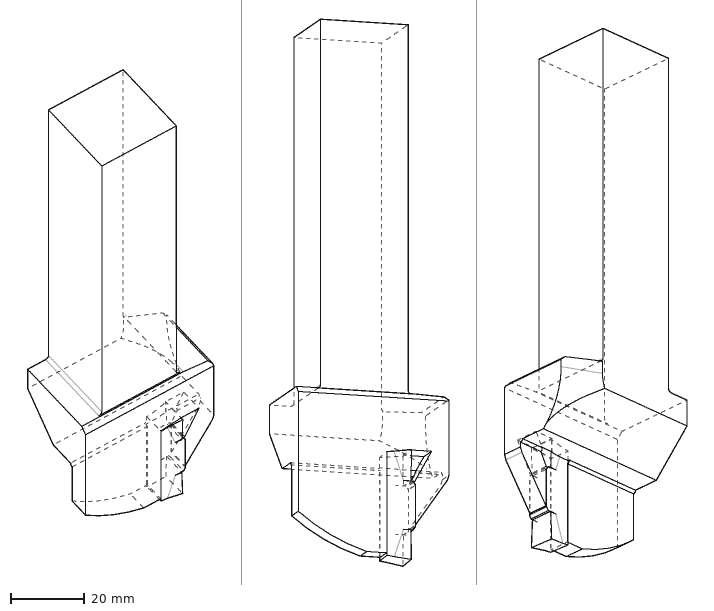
import cadquery as cq
import math


shank_size = 25.0
tool_length = 150.0
neck_fillet = 1.0

head_front = -7.0
head_back = 36.0
head_right = 27.2
shoulder_z = 47.1
head_left_bottom = 39.1
head_bottom = 26.9
head_slope_end = 12.0
shoulder_flat_end = shank_size + 2.0
shoulder_side_ledge = 0.4
shoulder_drop = 0.4
back_chamfer = 1.0

blade_left = 20.9
blade_root_fillet = 0.8
blade_bottom = 1.9
blade_front_bottom = 11.9
blade_arc_end = 12.5
blade_arc_sagitta = 1.1
jaw_corner = (35.5, 23.2)
jaw_bottom = 10.1
jaw_corner_height = 1.5

taper_start_y = 25.2
taper_angle = 25.0
taper_straight_bottom = 43.4
taper_curve_radius = 25.0
taper_curve_drop = 18.0
taper_overrun = 10.0

insert_width = 8.0
insert_left = 20.0
insert_length = 31.0
insert_back = 18.2
rake_y = shank_size
waist_y = 26.35
tip_height = 8.7
waist_edge_y = 25.7
waist_edge_height = 1.0
side_relief = 0.6
tip_side_relief = 0.4
flare_depth_at_tip = 5.0
flare_depth_at_waist = 2.1
end_relief_slope = 0.13
cutting_edge_slope = 0.04
relief_overrun = 1.0
insert_center_x = insert_left + insert_width / 2
insert_mid_z = insert_length / 2
body_width = insert_width - 2 * side_relief

slot_bottom = (26.2, insert_length - tip_height)
slot_slope = 0.55


def prism_along_x(points, x_start, x_end):
    """Extrude a closed (Y, Z) outline between two X positions."""
    outline = cq.Workplane("YZ").workplane(offset=x_start).polyline(points).close()
    return outline.extrude(x_end - x_start)


def front_outline():
    """Shank, sloped head and thin blade in the XZ plane, extruded over the whole depth."""
    chamfer_start = shank_size + shoulder_side_ledge
    chamfer_bottom = shoulder_z - (head_right - chamfer_start)
    outline = (
        cq.Workplane("XZ", origin=(0, head_back, 0))
        .moveTo(0, tool_length)
        .lineTo(shank_size, tool_length)
        .lineTo(shank_size, shoulder_z)
        .lineTo(chamfer_start, shoulder_z)
        .lineTo(head_right, chamfer_bottom)
        .lineTo(head_right, blade_bottom)
        .lineTo(blade_left, blade_bottom)
        .lineTo(blade_left, head_bottom - blade_root_fillet)
        .radiusArc((blade_left - blade_root_fillet, head_bottom), blade_root_fillet)
        .lineTo(head_slope_end, head_bottom)
        .lineTo(0, head_left_bottom)
        .close()
    )
    return outline.extrude(head_back - head_front)


def side_outline():
    """Shank, shoulders and blade contour in the YZ plane, extruded over the whole width."""
    sloped_end = head_back - back_chamfer
    sloped_z = shoulder_z - shoulder_drop
    outline = (
        cq.Workplane("YZ")
        .moveTo(0, tool_length)
        .lineTo(0, shoulder_z + neck_fillet)
        .radiusArc((-neck_fillet, shoulder_z), neck_fillet)
        .lineTo(head_front, shoulder_z)
        .lineTo(head_front, blade_front_bottom)
        .sagittaArc((blade_arc_end, blade_bottom), -blade_arc_sagitta)
        .lineTo(insert_back, blade_bottom)
        .lineTo(waist_y, jaw_bottom)
        .lineTo(*jaw_corner)
        .lineTo(head_back, jaw_corner[1] + jaw_corner_height)
        .lineTo(head_back, sloped_z - back_chamfer)
        .lineTo(sloped_end, sloped_z)
        .lineTo(shoulder_flat_end, shoulder_z)
        .lineTo(shank_size + neck_fillet, shoulder_z)
        .radiusArc((shank_size, shoulder_z + neck_fillet), neck_fillet)
        .lineTo(shank_size, tool_length)
        .close()
    )
    return outline.extrude(head_right)


def taper_cutter():
    """Cutter for the back left corner: a vertical taper face that curves inward below."""
    angle = math.radians(taper_angle)
    along = cq.Vector(math.sin(angle), math.cos(angle), 0)
    outward = cq.Vector(-math.cos(angle), math.sin(angle), 0)
    origin = cq.Vector(0, taper_start_y, 0) - along * taper_overrun
    inset = taper_curve_radius - math.sqrt(taper_curve_radius**2 - taper_curve_drop**2)
    curve_bottom = taper_straight_bottom - taper_curve_drop
    profile = (
        cq.Workplane(cq.Plane(origin=origin, xDir=outward, normal=outward.cross(cq.Vector(0, 0, 1))))
        .moveTo(0, shoulder_z)
        .lineTo(0, taper_straight_bottom)
        .radiusArc((-inset, curve_bottom), taper_curve_radius)
        .lineTo(taper_overrun, curve_bottom)
        .lineTo(taper_overrun, shoulder_z)
        .close()
    )
    return profile.extrude(head_back - taper_start_y + 2 * taper_overrun)


def insert_tip():
    """Lower cutting tip: side flares that widen toward the rake face and the cutting edge."""

    def flare_section(z, depth, relief):
        inner = body_width / 2
        outer = insert_width / 2 - relief
        corners = [
            (-inner, rake_y - depth),
            (inner, rake_y - depth),
            (outer, rake_y),
            (-outer, rake_y),
        ]
        points = [cq.Vector(insert_center_x + x, y, z) for x, y in corners]
        return cq.Wire.makePolygon(points, close=True)

    flare = cq.Solid.makeLoft(
        [
            flare_section(0, flare_depth_at_tip, 0),
            flare_section(tip_height, flare_depth_at_waist, tip_side_relief),
        ],
        True,
    )
    return cq.Workplane(flare)


def end_relief_cutter():
    """Wedge below the lower tip: the end face rises toward the back and along the cutting edge."""
    depth = rake_y - insert_back
    edge_rise = cutting_edge_slope * insert_width
    back_rise = end_relief_slope * depth

    def section(x, rise):
        corners = [
            (rake_y, -relief_overrun),
            (rake_y, rise),
            (insert_back, rise + back_rise),
            (insert_back, -relief_overrun),
        ]
        return cq.Wire.makePolygon([cq.Vector(x, y, z) for y, z in corners], close=True)

    wedge = cq.Solid.makeLoft(
        [section(insert_left, 0), section(insert_left + insert_width, edge_rise)], True
    )
    return cq.Workplane(wedge)


def make_insert():
    """Double-ended insert, the upper half being the lower half turned about the Y direction."""
    core = prism_along_x(
        [
            (insert_back, 0),
            (rake_y, 0),
            (rake_y, tip_height),
            (waist_edge_y, tip_height),
            (waist_y, tip_height + waist_edge_height),
            (waist_y, insert_mid_z),
            (insert_back, insert_mid_z),
        ],
        insert_center_x - body_width / 2,
        insert_center_x + body_width / 2,
    )
    lower_half = core.union(insert_tip()).cut(end_relief_cutter())
    center = (insert_center_x, 0, insert_mid_z)
    upper_half = lower_half.rotate(center, (insert_center_x, 1, insert_mid_z), 180)
    return lower_half.union(upper_half)


def jaw_slot():
    """Slot that widens upward between the jaw and the upper rake face."""
    slot_height = insert_length - slot_bottom[1]
    return prism_along_x(
        [
            (rake_y, slot_bottom[1]),
            slot_bottom,
            (slot_bottom[0] + slot_slope * slot_height, insert_length),
            (rake_y, insert_length),
        ],
        insert_left,
        head_right,
    )


def root_fillet_gap():
    """Gap in the blade root fillet where the insert passes up into the head."""
    fillet_bottom = head_bottom - blade_root_fillet
    return prism_along_x(
        [
            (insert_back, fillet_bottom),
            (rake_y, fillet_bottom),
            (rake_y, head_bottom),
            (insert_back, head_bottom),
        ],
        insert_left,
        blade_left,
    )


def make_holder(insert):
    """Holder with the tapered corner, the jaw slot and the insert seat cut out."""
    blank = front_outline().intersect(side_outline())
    relieved = blank.cut(taper_cutter()).cut(jaw_slot()).cut(root_fillet_gap())
    return relieved.cut(insert)


insert = make_insert()
holder = make_holder(insert)

result = cq.Compound.makeCompound([holder.solids().val(), insert.solids().val()])